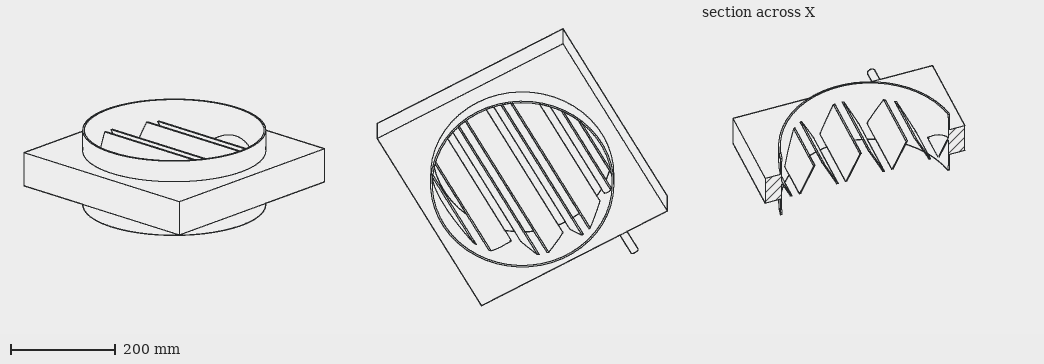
import cadquery as cq

frame_x = 406.0
frame_y = 408.0
frame_height = 67.5

total_height = 151.0
duct_diameter = 350.5
duct_wall = 3.2
bore_diameter = duct_diameter - 2 * duct_wall

overall_x = 463
shaft_diameter = 15.7
shaft_y = 100.0
shaft_length = overall_x - frame_x

blade_count = 8
blade_pitch = 47.0
blade_span_y = 32.5
blade_rise = 65.0
blade_thickness_y = 3.2


def make_cylinder(diameter):
    """Upright cylinder as tall as the duct, centred on the origin."""
    return cq.Workplane("XY").circle(diameter / 2).extrude(total_height / 2, both=True)


def make_housing():
    """Frame with the duct standing out above and below, bored right through."""
    frame = cq.Workplane("XY").box(frame_x, frame_y, frame_height)
    return frame.union(make_cylinder(duct_diameter)).cut(make_cylinder(bore_diameter))


def make_shaft():
    """Round shaft standing out from the -X face of the frame."""
    return (
        cq.Workplane("YZ", origin=(-frame_x / 2, 0, 0))
        .center(shaft_y, 0)
        .circle(shaft_diameter / 2)
        .extrude(-shaft_length)
    )


def make_blade(center_y, lean):
    """Sheared plate with level long edges; its top edge leans toward +Y for lean = 1, -Y for -1."""
    outer = lean * blade_span_y / 2
    inner = outer - lean * blade_thickness_y
    half_rise = blade_rise / 2
    return (
        cq.Workplane("YZ", origin=(0, center_y, 0))
        .polyline([(outer, half_rise), (inner, half_rise), (-outer, -half_rise), (-inner, -half_rise)])
        .close()
        .extrude(duct_diameter / 2, both=True)
    )


result = make_housing().union(make_shaft())

duct_core = make_cylinder(duct_diameter)
first_blade_y = -blade_pitch * (blade_count - 1) / 2
for index in range(blade_count):
    lean = 1 if index % 2 else -1
    blade = make_blade(first_blade_y + index * blade_pitch, lean)
    result = result.union(blade.intersect(duct_core))